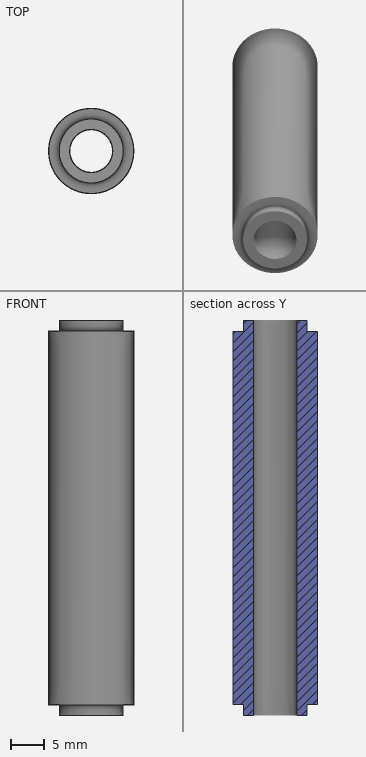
import cadquery as cq

total_length = 58.75
body_diameter = 12.7
spigot_diameter = 9.5
bore_diameter = 6.35
spigot_length = 1.6

body_length = total_length - 2 * spigot_length

core = cq.Workplane("XY").circle(spigot_diameter / 2).extrude(total_length)

body = (
    cq.Workplane("XY")
    .workplane(offset=spigot_length)
    .circle(body_diameter / 2)
    .extrude(body_length)
)

bore = cq.Workplane("XY").circle(bore_diameter / 2).extrude(total_length)

result = core.union(body).cut(bore)